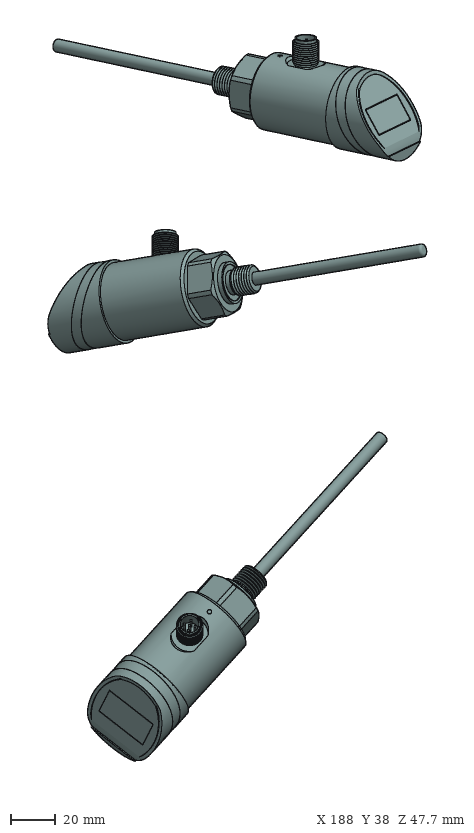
import cadquery as cq
import math


overall_length = 188.0

probe_diameter = 6.0
probe_tip_radius = 1.25
thread_start = 88.0
thread_end = 98.0
thread_diameter = 13.157
thread_pitch = 1.337
thread_depth = 0.856
thread_chamfer = 0.9
neck_diameter = 11.2
collar_start = 99.8
collar_diameter = 19.0
seal_seat_diameter = 16.6
seal_seat_depth = 0.4

hex_start = 102.0
hex_across_flats = 27.0
hex_turned_diameter = 30.0
hex_face_diameter = 26.0
hex_chamfer_length = 1.15

barrel_start = 115.3
barrel_diameter = 35.5
barrel_face_diameter = 33.0
barrel_end = 158.0
led_x = 120.9
led_diameter = 2.0
led_depth = 0.5

connector_x = 134.7
connector_top = 28.7
connector_thread_top = 27.3
connector_thread_bottom = 17.3
connector_thread_diameter = 12.0
connector_thread_pitch = 1.0
connector_thread_depth = 0.6
connector_rim_diameter = 9.8
connector_bore_diameter = 8.3
connector_bore_depth = 8.5
spot_face_z = 16.45
spot_face_floor_diameter = 16.6
spot_face_outer_diameter = 19.0

pin_diameter = 1.0
pin_length = 7.0
pin_circle_radius = 2.5
pin_first_angle = 26.0
outer_pin_count = 4

head_diameter = 38.0
head_radius = head_diameter / 2
head_top_x = 168.7
face_top = (170.4, 14.1)
face_bottom = (184.4, -6.3)
ledge_z = -14.0
ledge_length = 0.6
panel_diameter = 34.5
panel_depth = 0.6

window_start_x = 175.3
window_end_x = 182.6
window_width = 25.6
window_depth = 0.3

stripe_width = 5.1
stripe_depth = 0.1
stripe_top_x = 159.7
stripe_middle = (164.4, 1.0)
stripe_bottom_x = 173.6


def x_cylinder(diameter, start, end):
    return cq.Workplane("YZ", origin=(start, 0, 0)).circle(diameter / 2).extrude(end - start)


def threaded_rod(diameter, depth, pitch, length):
    """Rod along +Z from the origin with as many whole V-shaped ring ridges as fit its length."""
    root = diameter / 2 - depth
    ridge_count = int(length / pitch)
    outline = cq.Workplane("XZ").moveTo(0, 0).lineTo(root, 0)
    for ridge in range(ridge_count):
        outline = outline.lineTo(diameter / 2, (ridge + 0.5) * pitch)
        outline = outline.lineTo(root, (ridge + 1) * pitch)
    ridged_length = ridge_count * pitch
    ridges = outline.lineTo(0, ridged_length).close().revolve(360, (0, 0, 0), (0, 1, 0))
    core = cq.Workplane("XY").circle(root).extrude(length)
    return ridges.union(core)


def make_probe():
    probe = x_cylinder(probe_diameter, 0, thread_start)
    return probe.faces("<X").edges().fillet(probe_tip_radius)


def make_process_connection():
    thread = threaded_rod(thread_diameter, thread_depth, thread_pitch, thread_end - thread_start)
    thread = thread.rotate((0, 0, 0), (0, 1, 0), 90).translate((thread_start, 0, 0))
    thread_blank = x_cylinder(thread_diameter, thread_start, thread_end)
    thread = thread.intersect(thread_blank.faces("<X").edges().chamfer(thread_chamfer))
    neck = x_cylinder(neck_diameter, thread_end, hex_start)
    collar = x_cylinder(collar_diameter, collar_start, hex_start)
    seal_seat = x_cylinder(seal_seat_diameter, collar_start, collar_start + seal_seat_depth)
    return thread.union(collar.cut(seal_seat)).union(neck)


def make_hexagon():
    """Hexagon with two corners on the Z axis, its corners turned down and its front edge bevelled."""
    length = barrel_start - hex_start
    corner_diameter = hex_across_flats / math.cos(math.pi / 6)
    prism = cq.Workplane("YZ", origin=(hex_start, 0, 0)).transformed(rotate=(0, 0, 90))
    prism = prism.polygon(6, corner_diameter).extrude(length)
    turned = (
        cq.Workplane("XZ")
        .moveTo(hex_start, 0)
        .lineTo(hex_start, hex_face_diameter / 2)
        .lineTo(hex_start + hex_chamfer_length, hex_turned_diameter / 2)
        .lineTo(barrel_start, hex_turned_diameter / 2)
        .lineTo(barrel_start, 0)
        .close()
        .revolve(360, (0, 0, 0), (1, 0, 0))
    )
    return prism.intersect(turned)


def make_barrel():
    chamfer = (barrel_diameter - barrel_face_diameter) / 2
    barrel = x_cylinder(barrel_diameter, barrel_start, barrel_end)
    barrel = barrel.faces("<X").edges().chamfer(chamfer)

    rise = barrel_diameter / 2 - spot_face_z
    spot_face = (
        cq.Workplane("XY", origin=(connector_x, 0, spot_face_z))
        .circle(spot_face_floor_diameter / 2)
        .workplane(offset=rise)
        .circle(spot_face_outer_diameter / 2)
        .loft(ruled=True)
    )

    led_floor = barrel_diameter / 2 - led_depth
    led = cq.Workplane("XY", origin=(led_x, 0, led_floor)).circle(led_diameter / 2).extrude(2 * led_depth)
    return barrel.cut(spot_face).cut(led)


def make_connector():
    root_diameter = connector_thread_diameter - 2 * connector_thread_depth
    base = cq.Workplane("XY", origin=(0, 0, spot_face_z)).circle(root_diameter / 2)
    base = base.extrude(connector_thread_bottom - spot_face_z)
    thread_length = connector_thread_top - connector_thread_bottom
    thread = threaded_rod(
        connector_thread_diameter, connector_thread_depth, connector_thread_pitch, thread_length
    ).translate((0, 0, connector_thread_bottom))
    rim = cq.Workplane("XY", origin=(0, 0, connector_thread_top)).circle(connector_rim_diameter / 2)
    rim = rim.extrude(connector_top - connector_thread_top)
    bore = cq.Workplane("XY", origin=(0, 0, connector_top)).circle(connector_bore_diameter / 2)
    bore = bore.extrude(-connector_bore_depth)
    return base.union(thread).union(rim).cut(bore).translate((connector_x, 0, 0))


def make_housing():
    housing = make_barrel().union(make_hexagon())
    housing = housing.union(make_process_connection()).union(make_probe())
    return housing.union(make_connector())


def make_pin(x, y):
    floor_z = connector_top - connector_bore_depth
    return cq.Workplane("XY", origin=(x, y, floor_z)).circle(pin_diameter / 2).extrude(pin_length)


def make_pins():
    pins = [make_pin(connector_x, 0)]
    for index in range(outer_pin_count):
        angle = math.radians(pin_first_angle + index * 360 / outer_pin_count)
        x = connector_x + pin_circle_radius * math.cos(angle)
        y = pin_circle_radius * math.sin(angle)
        pins.append(make_pin(x, y))
    return pins


def make_head_blank():
    """Cylinder cut to a side outline with a sloping face, a rounded lower end and a small ledge."""
    side = (
        cq.Workplane("XZ")
        .moveTo(barrel_end, -head_radius)
        .lineTo(barrel_end, head_radius)
        .lineTo(head_top_x, head_radius)
        .lineTo(*face_top)
        .lineTo(*face_bottom)
        .tangentArcPoint((overall_length - ledge_length, ledge_z), relative=False)
        .lineTo(overall_length, ledge_z)
        .lineTo(overall_length, -head_radius)
        .close()
        .extrude(head_radius, both=True)
    )
    return side.intersect(x_cylinder(head_diameter, barrel_end, overall_length))


def face_slab(depth):
    """Slab over the sloping face, with its underside at the given X distance behind the face."""
    slope = (face_bottom[0] - face_top[0]) / (face_bottom[1] - face_top[1])
    upper_x = face_top[0] + slope * (head_radius - face_top[1])
    lower_x = face_top[0] + slope * (ledge_z - face_top[1])
    slab_thickness = overall_length - upper_x
    return (
        cq.Workplane("XZ")
        .moveTo(upper_x - depth, head_radius)
        .lineTo(lower_x - depth, ledge_z)
        .lineTo(lower_x + slab_thickness, ledge_z)
        .lineTo(upper_x + slab_thickness, head_radius)
        .close()
        .extrude(head_radius, both=True)
    )


def make_panel_recess():
    return face_slab(panel_depth).intersect(x_cylinder(panel_diameter, barrel_end, overall_length))


def make_window_recess():
    length = window_end_x - window_start_x
    block = cq.Workplane("XY", origin=(window_start_x + length / 2, 0, 0))
    block = block.rect(length, window_width).extrude(head_radius, both=True)
    return face_slab(panel_depth + window_depth).intersect(block)


def make_stripe_groove():
    """Shallow groove between two equal arcs that lean along the sides of the head."""
    band = (
        cq.Workplane("XZ")
        .moveTo(stripe_top_x, head_radius)
        .threePointArc(stripe_middle, (stripe_bottom_x, -head_radius))
        .lineTo(stripe_bottom_x + stripe_width, -head_radius)
        .threePointArc(
            (stripe_middle[0] + stripe_width, stripe_middle[1]),
            (stripe_top_x + stripe_width, head_radius),
        )
        .close()
        .extrude(head_radius, both=True)
    )
    core = x_cylinder(head_diameter - 2 * stripe_depth, barrel_end, overall_length)
    return band.cut(core)


def make_head():
    head = make_head_blank().cut(make_stripe_groove())
    return head.cut(make_panel_recess()).cut(make_window_recess())


housing = make_housing()
head = make_head()
pins = make_pins()

result = cq.Compound.makeCompound([housing.solids().val(), head.solids().val(), *[pin.val() for pin in pins]])